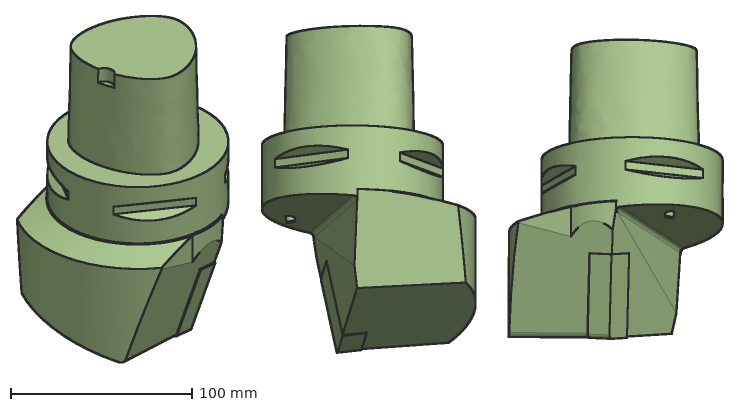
import cadquery as cq
import math


shank_height = 60.2
shank_base_radius = 35.95
shank_taper = 1.4
lobe_height = 2.46
outline_points = 36
notch_radius = 5.8
notch_center_y = -34.2
notch_depth = 8.5

collar_radius = 50.0
collar_height = 35.9
groove_floor_distance = 44.2
groove_floor_width = 4.8
groove_mid_z = -16.0
groove_flank_angle = 30.0
groove_count = 4
groove_first_angle = 45.0

head_radius = 68.0
cone_end_z = -41.6
hub_radius = 50.5
cone_start_z = -36.4
head_right_x = 47.3
head_back_y = 9.7
left_face_top_x = -49.5
left_face_lean = 0.167
underside_drop = 3.5
underside_fillet = 2.5
head_edge_radius = 2.5
head_bottom_z = -119.0

insert_corner = (34.5, 0.0, -110.3)
rake_normal = (0.061, 1.0, -0.153)
long_edge = (0.277, 0.136, 1.0)
head_edge_normal = (0.061, 1.0, -0.115)
insert_length = 46.8
insert_width = 22.1
insert_thickness = 13.6
insert_nose_radius = 2.2
side_overhang = 0.7
bottom_overhang = 0.7

nozzle_diameter = 5.0
nozzle_x = 20.4
nozzle_y = 29.8
nozzle_end_z = -40.3
nozzle_length = 8.5
nozzle_tilt = 12.0

construction_size = 272.0


def lobed_outline(radius):
    """Three-lobed curve whose tangent distance from the axis is radius + lobe * cos(3a)."""
    points = []
    for i in range(outline_points):
        a = 2 * math.pi * i / outline_points
        distance = radius + lobe_height * math.cos(3 * a)
        slope = -3 * lobe_height * math.sin(3 * a)
        x = -distance * math.sin(a) - slope * math.cos(a)
        y = distance * math.cos(a) - slope * math.sin(a)
        points.append((x, y))
    return points


def make_shank():
    shank = (
        cq.Workplane("XY")
        .spline(lobed_outline(shank_base_radius), periodic=True).close()
        .workplane(offset=shank_height)
        .spline(lobed_outline(shank_base_radius - shank_taper), periodic=True).close()
        .loft(ruled=True)
    )
    notch = (
        cq.Workplane("XY", origin=(0, notch_center_y, shank_height - notch_depth))
        .circle(notch_radius).extrude(notch_depth)
    )
    return shank.cut(notch)


def make_groove(angle):
    """Straight groove with a flat floor and flaring flanks, facing the given direction."""
    depth = collar_radius - groove_floor_distance
    flare = depth * math.tan(math.radians(groove_flank_angle))
    half_floor = groove_floor_width / 2
    return (
        cq.Workplane("XZ", origin=(0, 0, groove_mid_z))
        .polyline([
            (groove_floor_distance, -half_floor),
            (collar_radius, -half_floor - flare),
            (collar_radius, half_floor + flare),
            (groove_floor_distance, half_floor),
        ]).close()
        .extrude(collar_radius, both=True)
        .rotate((0, 0, 0), (0, 0, 1), angle)
    )


def make_collar():
    collar = cq.Workplane("XY").circle(collar_radius).extrude(-collar_height)
    for i in range(groove_count):
        collar = collar.cut(make_groove(groove_first_angle + i * 360 / groove_count))
    return collar


def place_at_corner(body, normal):
    """Move a body so X runs up the long edge, Y points outward and Z follows the given normal."""
    frame = cq.Plane(origin=insert_corner, xDir=long_edge, normal=normal)
    return cq.Workplane(body.val().moved(cq.Location(frame)))


def make_head():
    flared = (
        cq.Workplane("XZ")
        .polyline([
            (0, -collar_height),
            (hub_radius, -collar_height),
            (hub_radius, cone_start_z),
            (head_radius, cone_end_z),
            (head_radius, head_bottom_z),
            (0, head_bottom_z),
        ]).close()
        .revolve(360, (0, 0, 0), (0, 1, 0))
    )
    right_trim = cq.Workplane("XY").box(
        construction_size, construction_size, construction_size
    ).translate((head_right_x - construction_size / 2, 0, 0))
    hub = (
        cq.Workplane("XY", origin=(0, 0, cone_start_z))
        .circle(hub_radius).extrude(head_bottom_z - cone_start_z)
    )
    head = flared.intersect(right_trim).union(hub)

    left_face_bottom_x = left_face_top_x - left_face_lean * (head_bottom_z + collar_height)
    side_trim = (
        cq.Workplane("XZ", origin=(0, head_back_y, 0))
        .polyline([
            (left_face_top_x, -collar_height),
            (head_radius, -collar_height),
            (head_radius, head_bottom_z),
            (left_face_bottom_x, head_bottom_z),
        ]).close()
        .extrude(construction_size)
    )

    edge_trim = (
        cq.Workplane("XY")
        .box(construction_size, construction_size, 2 * construction_size)
        .edges("|Z and <X and >Y").fillet(head_edge_radius)
        .translate((
            construction_size / 2 + bottom_overhang,
            -construction_size / 2 - side_overhang,
            0,
        ))
    )
    rake_trim = (
        cq.Workplane("XY")
        .box(2 * construction_size, 2 * construction_size, construction_size)
        .translate((0, 0, -construction_size / 2))
    )
    return (
        head.intersect(side_trim)
        .intersect(place_at_corner(edge_trim, head_edge_normal))
        .intersect(place_at_corner(rake_trim, rake_normal))
    )


def make_underside():
    """Sloping pad under the rear of the collar that runs into the head's back with a fillet."""
    pad_end_z = -collar_height - underside_drop
    fillet_middle = underside_fillet * (1 - math.sqrt(0.5))
    profile = (
        cq.Workplane("YZ")
        .moveTo(0, -collar_height)
        .lineTo(collar_radius, -collar_height)
        .lineTo(head_back_y + underside_fillet, pad_end_z)
        .threePointArc(
            (head_back_y + fillet_middle, pad_end_z - fillet_middle),
            (head_back_y, pad_end_z - underside_fillet),
        )
        .lineTo(0, pad_end_z - underside_fillet)
        .close()
        .extrude(collar_radius, both=True)
    )
    rear = (
        cq.Workplane("XY").circle(collar_radius).extrude(-construction_size)
        .intersect(cq.Workplane("XY").box(
            -2 * left_face_top_x, construction_size, construction_size
        ).translate((0, head_back_y + construction_size / 2, 0)))
    )
    return profile.intersect(rear)


def make_nozzle():
    """Short round spout that leans as it rises into the collar."""
    return (
        cq.Workplane("XY")
        .circle(nozzle_diameter / 2).extrude(nozzle_length)
        .rotate((0, 0, 0), (1, 0, 0), -nozzle_tilt)
        .translate((nozzle_x, nozzle_y, nozzle_end_z))
    )


def make_insert():
    insert = (
        cq.Workplane("XY")
        .box(insert_length, insert_width, insert_thickness, centered=False)
        .edges("|Z and <X and >Y").fillet(insert_nose_radius)
        .translate((0, -insert_width, -insert_thickness))
    )
    return place_at_corner(insert, rake_normal)


insert = make_insert()
holder = (
    make_shank()
    .union(make_collar())
    .union(make_head())
    .union(make_underside())
    .union(make_nozzle())
    .cut(insert)
)

result = cq.Compound.makeCompound([holder.val(), insert.val()])